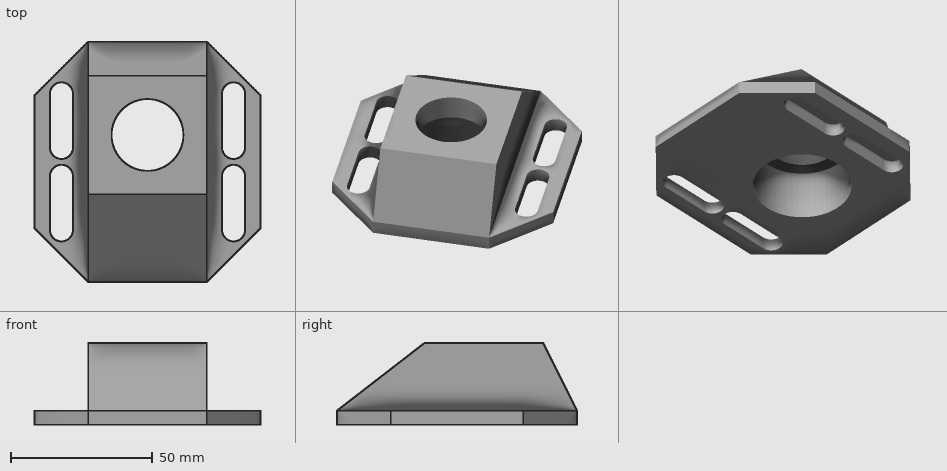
import cadquery as cq

base_width = 80.0
base_length = 85.0
base_thickness = 5.0
total_height = 29.0

block_width = 42.0
top_length = 42.0
back_slope_run = 12.0

hole_diameter = 25.3
hole_depth = 9.0
bore_diameter = 35.0

slot_length = 27.0
slot_width = 8.1
slot_spacing_x = 60.9
slot_spacing_y = 29.15

corner_cut = (base_width - block_width) / 2
top_back_y = base_length / 2 - back_slope_run
top_front_y = top_back_y - top_length
hole_y = (top_back_y + top_front_y) / 2


def make_base():
    plate = cq.Workplane("XY").rect(base_width, base_length).extrude(base_thickness)
    return plate.edges("|Z").chamfer(corner_cut)


def make_block():
    """Trapezoid in the YZ plane, extruded across X."""
    profile = [
        (-base_length / 2, base_thickness),
        (base_length / 2, base_thickness),
        (top_back_y, total_height),
        (top_front_y, total_height),
    ]
    return cq.Workplane("YZ").polyline(profile).close().extrude(block_width / 2, both=True)


def make_hole():
    """Narrow hole at the top, opening into a wider bore that reaches the underside."""
    axis = cq.Workplane("XY").center(0, hole_y)
    narrow_hole = axis.circle(hole_diameter / 2).extrude(total_height)
    wide_bore = axis.circle(bore_diameter / 2).extrude(total_height - hole_depth)
    return narrow_hole.union(wide_bore)


def make_slots():
    return (
        cq.Workplane("XY")
        .rarray(slot_spacing_x, slot_spacing_y, 2, 2)
        .slot2D(slot_length, slot_width, 90)
        .extrude(base_thickness)
    )


result = make_base().union(make_block()).cut(make_hole()).cut(make_slots())